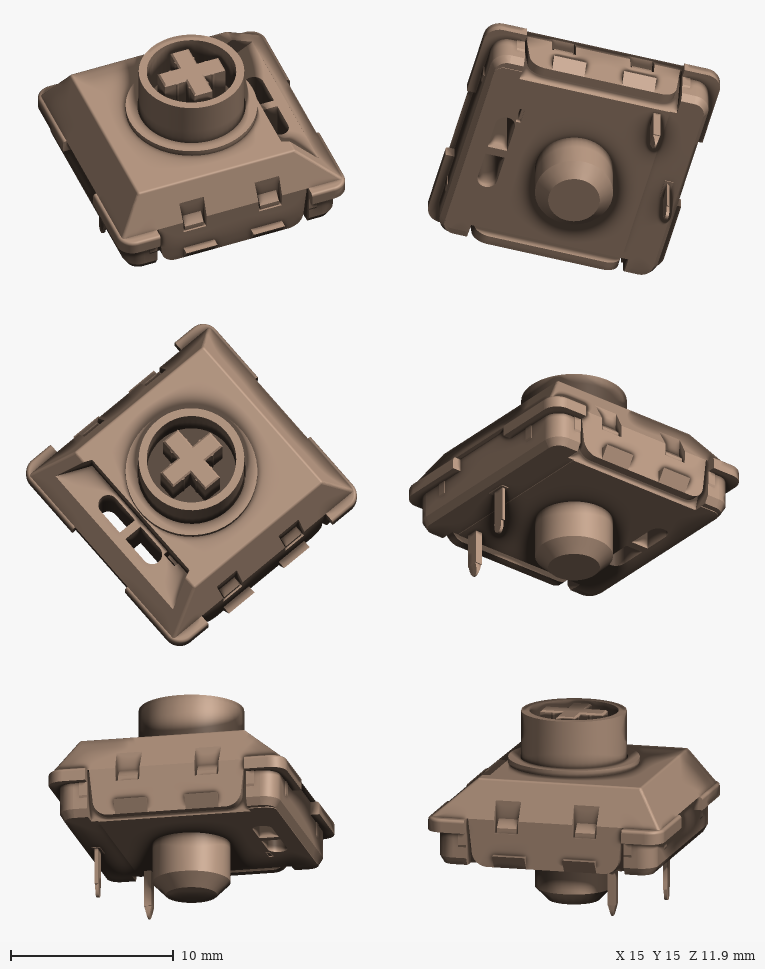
import cadquery as cq

parting_z = 2.15
rim_top_z = 2.97
roof_z = 5.28
collar_top_z = 5.67
stem_top_z = 8.58
led_floor_z = 3.85
post_bottom_z = -3.32

rim_width = 15
rim_corner_radius = 1.0
edge_round = 0.2
roof_foot_x = 6.85
roof_foot_y = 7.28
roof_top_x = 5.65
roof_front_y = -5.76
roof_back_y = 4.59
collar_diameter = 8.1
stem_hole_diameter = 6.66

skirt_inner_x = 6.27
skirt_top_half_width = 4.9
skirt_bottom_half_width = 4.58
skirt_corner_radius = 0.98
recess_half_width = 5.01
recess_floor_bottom_x = 5.7
clip_reach_x = 7.38
clip_height = 0.81
clip_inner_y = 1.2
clip_outer_y = 3.25

window_centre_y = 2.49
window_bottom_width = 1.5
window_top_width = 1.62
window_top_z = 4.17
catch_width = 1.23
catch_tip_x = 6.74
catch_face_top_z = 2.46
catch_root_x = 5.7

pocket_front_y = 4.1
pocket_back_y = 6.24
pocket_front_half_width = 4.6
pocket_back_half_width = 5.56
light_window_length = 5.38
light_window_width = 1.23
light_window_y = 4.95
light_window_bar = 0.54
slot_left_x = -3.54
slot_right_x = -2.54
slot_depth_y = 0.3
contact_width = 0.78
contact_thickness = 0.18
contact_top_z = 3.6

base_half_width = 6.93
base_corner_radius = 1.05
base_chamfer_width = 0.28
base_chamfer_height = 0.48
sole_half_width = 6.25
sole_front_y = -4.58
sole_back_y = base_half_width - base_chamfer_width
sole_corner_radius = 0.6
sole_bottom_z = -0.05
tongue_half_width = 2.49
tongue_thickness = 0.5
pad_width = 0.52
pad_offset = 4.26
side_pad_offset = 5.25
pad_thickness = 0.06
pad_bottom_z = 1.17
pad_slope_height = 0.15
post_diameter = 4.8
post_chamfer = 0.81

ring_diameter = 6.5
ring_bore_diameter = 5.5
ring_floor_z = collar_top_z
cross_top_z = stem_top_z
cross_length = 4.0
cross_arm_width = 1.2
cross_chamfer = 0.1
rib_diameter = 0.25
rib_height = 0.05
rib_offset = 1.17

side_pin_x = -5.0
side_pin_y = -3.81
side_pin_width = 0.81
side_pin_thickness = 0.45
middle_pin_y = -5.9
middle_pin_width = 0.93
middle_pin_thickness = 0.2
middle_pin_bevel = 0.14
pin_pad_margin = 0.16
pin_shoulder_z = -2.31
pin_bottom_z = -3.05
pin_tip_width = 0.69
side_pin_point = 0.09

SIDES = (-1, 1)


def block(x_range, y_range, z_range):
    """Box between two limits on each axis, given in either order."""
    (x0, x1), (y0, y1), (z0, z1) = sorted(x_range), sorted(y_range), sorted(z_range)
    return cq.Workplane("XY").box(x1 - x0, y1 - y0, z1 - z0, centered=False).translate((x0, y0, z0))


def prism_along_y(points_xz, y_start, y_end):
    """Prism with an XZ outline, between two Y positions."""
    outline = cq.Workplane("XZ", origin=(0, y_start, 0)).polyline(points_xz).close()
    return outline.extrude(y_start - y_end)


def catch(side, y):
    """Snap catch with a ramp facing up and outward."""
    profile = [
        (side * catch_root_x, parting_z),
        (side * catch_tip_x, parting_z),
        (side * catch_tip_x, catch_face_top_z),
        (side * skirt_inner_x, rim_top_z),
        (side * catch_root_x, rim_top_z),
    ]
    return prism_along_y(profile, y - catch_width / 2, y + catch_width / 2)


def tongue(side):
    """Upright tongue in the middle of the front or back wall of the base."""
    return block(
        (-tongue_half_width, tongue_half_width),
        (side * (base_half_width - tongue_thickness), side * base_half_width),
        (parting_z, rim_top_z),
    )


def through_openings():
    """Two light windows and the contact slot, as cutters through the whole housing."""
    height = roof_z - sole_bottom_z
    plane = cq.Workplane("XY", origin=(0, light_window_y, sole_bottom_z))
    openings = plane.slot2D(light_window_length, light_window_width).extrude(height)
    bar = plane.rect(light_window_bar, light_window_width).extrude(height)
    slot = block(
        (slot_left_x, slot_right_x), (pocket_front_y, pocket_front_y + slot_depth_y), (sole_bottom_z, roof_z)
    )
    return openings.cut(bar).union(slot)


def roof():
    """Four-sided sloping roof with rounded edges."""
    depth = roof_back_y - roof_front_y
    centre_y = (roof_back_y + roof_front_y) / 2
    solid = (
        cq.Workplane("XY", origin=(0, 0, rim_top_z))
        .rect(2 * roof_foot_x, 2 * roof_foot_y)
        .workplane(offset=roof_z - rim_top_z)
        .center(0, centre_y)
        .rect(2 * roof_top_x, depth)
        .loft(ruled=True)
    )
    return solid.edges("not <Z").fillet(edge_round)


def skirt(side):
    """Flexible side wall with rounded lower corners and two mounting clips."""
    wall = (
        cq.Workplane("YZ", origin=(side * skirt_inner_x, 0, 0))
        .polyline([
            (-skirt_bottom_half_width, 0),
            (skirt_bottom_half_width, 0),
            (skirt_top_half_width, rim_top_z),
            (-skirt_top_half_width, rim_top_z),
        ])
        .close()
        .extrude(side * (roof_foot_x - skirt_inner_x))
        .edges("|X and <Z")
        .fillet(skirt_corner_radius)
    )
    clip_profile = [
        (side * skirt_inner_x, 0),
        (side * roof_foot_x, 0),
        (side * clip_reach_x, clip_height),
        (side * skirt_inner_x, clip_height),
    ]
    for end in SIDES:
        wall = wall.union(prism_along_y(clip_profile, end * clip_inner_y, end * clip_outer_y))
    return wall


def window(side, y):
    """Cutter for a catch window, slightly narrower at its sill than at its top."""
    half_sill = window_bottom_width / 2
    half_top = window_top_width / 2
    return (
        cq.Workplane("YZ", origin=(side * skirt_inner_x, y, 0))
        .polyline([
            (-half_sill, parting_z),
            (half_sill, parting_z),
            (half_top, window_top_z),
            (-half_top, window_top_z),
        ])
        .close()
        .extrude(side * (rim_width / 2 - skirt_inner_x))
    )


def make_cover():
    rim_height = rim_top_z - parting_z
    cover = (
        cq.Workplane("XY", origin=(0, 0, parting_z))
        .rect(rim_width, rim_width)
        .extrude(rim_height)
        .edges("|Z")
        .fillet(rim_corner_radius)
        .faces(">Z")
        .edges()
        .fillet(edge_round)
    )
    rim_half = rim_width / 2
    for side in SIDES:
        cover = cover.cut(block(
            (-tongue_half_width, tongue_half_width),
            (side * base_half_width, side * rim_half),
            (parting_z, rim_top_z),
        ))
        cover = cover.cut(block(
            (side * skirt_inner_x, side * rim_half),
            (-recess_half_width, recess_half_width),
            (parting_z, rim_top_z),
        ))
        cover = cover.cut(tongue(side))
    cover = cover.union(roof())
    for side in SIDES:
        cover = cover.union(skirt(side))
        for end in SIDES:
            cover = cover.cut(window(side, end * window_centre_y))
            cover = cover.cut(catch(side, end * window_centre_y))
    led_pocket = (
        cq.Workplane("XY", origin=(0, 0, led_floor_z))
        .polyline([
            (-pocket_front_half_width, pocket_front_y),
            (pocket_front_half_width, pocket_front_y),
            (pocket_back_half_width, pocket_back_y),
            (-pocket_back_half_width, pocket_back_y),
        ])
        .close()
        .extrude(roof_z - led_floor_z)
    )
    cover = cover.cut(led_pocket).cut(through_openings())
    collar = (
        cq.Workplane("XY", origin=(0, 0, led_floor_z))
        .circle(collar_diameter / 2)
        .extrude(collar_top_z - led_floor_z)
    )
    stem_hole = (
        cq.Workplane("XY", origin=(0, 0, parting_z))
        .circle(stem_hole_diameter / 2)
        .extrude(collar_top_z - parting_z)
    )
    return cover.union(collar).cut(stem_hole)


def wall_pad(offset):
    """Thin pad with a sloped foot, on the front wall of the base."""
    outer_y = base_half_width + pad_thickness
    profile = [
        (-base_half_width, pad_bottom_z),
        (-outer_y, pad_bottom_z + pad_slope_height),
        (-outer_y, parting_z),
        (-base_half_width, parting_z),
    ]
    return (
        cq.Workplane("YZ", origin=(offset - pad_width / 2, 0, 0)).polyline(profile).close().extrude(pad_width)
    )


def sole():
    """Thin raised area under the base, with a separate small pad around the middle pin."""
    main_area = (
        cq.Workplane("XY")
        .center(0, (sole_front_y + sole_back_y) / 2)
        .rect(2 * sole_half_width, sole_back_y - sole_front_y)
        .extrude(sole_bottom_z)
        .edges("|Z")
        .fillet(sole_corner_radius)
    )
    pin_pad = (
        cq.Workplane("XY")
        .center(0, middle_pin_y)
        .rect(middle_pin_width + 2 * pin_pad_margin, middle_pin_thickness + 2 * pin_pad_margin)
        .extrude(sole_bottom_z)
    )
    return main_area.union(pin_pad)


def make_base():
    base = (
        cq.Workplane("XY")
        .rect(2 * base_half_width, 2 * base_half_width)
        .extrude(parting_z)
        .edges("|Z")
        .fillet(base_corner_radius)
        .faces("<Z")
        .edges()
        .chamfer(base_chamfer_height, base_chamfer_width)
        .union(sole())
    )
    for side in SIDES:
        pads = wall_pad(side * pad_offset)
        side_pads = wall_pad(side * side_pad_offset)
        for angle in (0, 180):
            base = base.union(pads.rotate((0, 0, 0), (0, 0, 1), angle))
        for angle in (90, 270):
            base = base.union(side_pads.rotate((0, 0, 0), (0, 0, 1), angle))
    outside_x = base_half_width + pad_thickness
    for side in SIDES:
        recess_profile = [
            (side * recess_floor_bottom_x, sole_bottom_z),
            (side * outside_x, sole_bottom_z),
            (side * outside_x, parting_z),
            (side * skirt_inner_x, parting_z),
        ]
        base = base.cut(prism_along_y(recess_profile, -recess_half_width, recess_half_width))
        base = base.union(tongue(side))
        for end in SIDES:
            base = base.union(catch(side, end * window_centre_y))
    post = (
        cq.Workplane("XY")
        .circle(post_diameter / 2)
        .extrude(post_bottom_z)
        .faces("<Z")
        .chamfer(post_chamfer)
    )
    return base.cut(through_openings()).union(post)


def make_stem():
    """Ring-shaped plunger with a key-cap cross standing inside it."""
    stem = (
        cq.Workplane("XY", origin=(0, 0, parting_z))
        .circle(ring_diameter / 2)
        .extrude(stem_top_z - parting_z)
        .faces(">Z")
        .workplane()
        .hole(ring_bore_diameter, stem_top_z - ring_floor_z)
    )
    cross_height = cross_top_z - ring_floor_z
    floor = cq.Workplane("XY", origin=(0, 0, ring_floor_z))
    cross = (
        floor.rect(cross_length, cross_arm_width)
        .extrude(cross_height)
        .union(floor.rect(cross_arm_width, cross_length).extrude(cross_height))
        .faces(">Z")
        .edges()
        .chamfer(cross_chamfer)
    )
    rib_centre = cross_arm_width / 2 + rib_height - rib_diameter / 2
    rib_points = []
    for along in (-rib_offset, rib_offset):
        for across in (-rib_centre, rib_centre):
            rib_points += [(along, across), (across, along)]
    ribs = floor.pushPoints(rib_points).circle(rib_diameter / 2).extrude(cross_height - cross_chamfer)
    return stem.union(cross).union(ribs)


def pin_tip_outline(half_width):
    """XZ outline of a pin about X = 0: straight shank, small shoulders and a rounded tip."""
    tip_half = pin_tip_width / 2
    return (
        cq.Workplane("XZ")
        .moveTo(-half_width, sole_bottom_z)
        .lineTo(-half_width, pin_shoulder_z)
        .lineTo(-tip_half, pin_shoulder_z)
        .spline(
            [(0, pin_bottom_z), (tip_half, pin_shoulder_z)], tangents=[(0, -1), (0, 1)], includeCurrent=True
        )
        .lineTo(half_width, pin_shoulder_z)
        .lineTo(half_width, sole_bottom_z)
        .close()
    )


def make_side_pin():
    """Thick pin whose tip also tapers to an edge across its thickness."""
    half = side_pin_thickness / 2
    pin = pin_tip_outline(side_pin_width / 2).extrude(half, both=True)
    taper = (
        cq.Workplane("YZ")
        .polyline([
            (-half, sole_bottom_z),
            (-half, pin_shoulder_z),
            (-side_pin_point / 2, pin_bottom_z),
            (side_pin_point / 2, pin_bottom_z),
            (half, pin_shoulder_z),
            (half, sole_bottom_z),
        ])
        .close()
        .extrude(side_pin_width / 2, both=True)
    )
    return pin.intersect(taper).translate((side_pin_x, side_pin_y, 0))


def make_middle_pin():
    """Thin pin with a bevel along the left of its front face."""
    half = middle_pin_thickness / 2
    left = -middle_pin_width / 2
    pin = pin_tip_outline(middle_pin_width / 2).extrude(half, both=True)
    bevel = (
        cq.Workplane("XY")
        .polyline([(left, half), (left, -half), (left + middle_pin_bevel, -half)])
        .close()
        .extrude(pin_shoulder_z)
    )
    return pin.cut(bevel).translate((0, middle_pin_y, 0))


def make_contact():
    """Upright contact strip standing against the front wall of its slot."""
    return block(
        (slot_left_x, slot_left_x + contact_width),
        (pocket_front_y, pocket_front_y + contact_thickness),
        (0, contact_top_z),
    )


cover = make_cover()
base = make_base()
stem = make_stem()
side_pin = make_side_pin()
middle_pin = make_middle_pin()
contact = make_contact()

result = cq.Compound.makeCompound([
    cover.solids().val(),
    base.solids().val(),
    stem.solids().val(),
    side_pin.solids().val(),
    middle_pin.solids().val(),
    contact.val(),
])